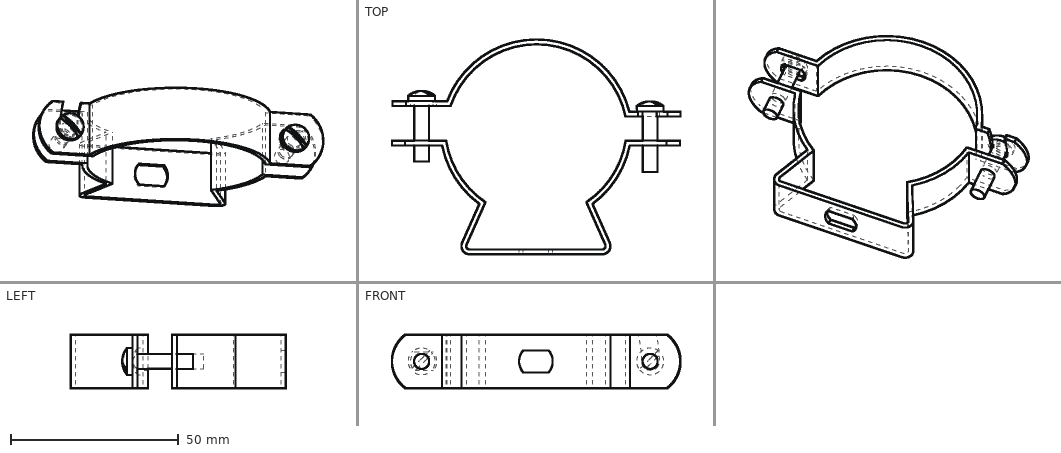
import cadquery as cq
import math

strap_width = 16.0
strap_thickness = 1.5
bore_radius = 27.0
outer_radius = bore_radius + strap_thickness

ear_tip_x = 42.9
ear_tip_radius = 10.0
screw_x = 34.0

lower_ear_top_y = -4.1
lower_ear_bottom_y = lower_ear_top_y - strap_thickness
foot_bottom_y = -38.0
foot_inner_corner_radius = 1.0
foot_outer_corner_radius = foot_inner_corner_radius + strap_thickness
foot_corner_x = 19.7
foot_corner_y = foot_bottom_y + foot_outer_corner_radius
foot_leg_angle = 24.0
foot_top_y = -15.0
foot_hole_length = 10.0
foot_hole_height = 6.5

upper_center_x = 0.2
upper_center_y = -2.5
upper_left_ear_bottom_y = 6.1
upper_right_ear_bottom_y = 3.0
ear_hole_x = -33.4
ear_hole_length = 7.8
ear_hole_height = 5.5
open_slot_width = 5.3
open_slot_path_radius = 33.9

shank_diameter = 4.5
shank_length = 18.0
head_diameter = 8.0
neck_fillet_radius = 0.25
head_rim_height = 1.6
head_height = 3.1
driver_slot_width = 1.2
driver_slot_depth = head_height - head_rim_height
driver_slot_angle = 45.0


def disc(radius, x, y):
    return cq.Workplane("XY").center(x, y).circle(radius).extrude(strap_width / 2, both=True)


def box_between(x_min, x_max, y_min, y_max, height=strap_width):
    size_x = x_max - x_min
    size_y = y_max - y_min
    return cq.Workplane("XY").box(size_x, size_y, height).translate(
        (x_min + size_x / 2, y_min + size_y / 2, 0)
    )


def along_y(sketch, y_min, y_max):
    """Extrude an XZ outline from y_min up to y_max."""
    return sketch.extrude(-(y_max - y_min)).translate((0, y_min, 0))


def flat_sided_hole(length, height, x, y_min):
    """Hole through one strap thickness along Y: a circle with flat top and bottom."""
    y_max = y_min + strap_thickness
    round_hole = along_y(cq.Workplane("XZ").center(x, 0).circle(length / 2), y_min, y_max)
    return round_hole.intersect(box_between(x - length, x + length, y_min, y_max, height))


def ear(side, center_x, bottom_y):
    """Flat ear on one side (-1 left, +1 right), reaching in to the strap centre."""
    tip_x = center_x + side * ear_tip_x
    half_width = strap_width / 2
    tip_rise = ear_tip_radius - math.sqrt(ear_tip_radius**2 - half_width**2)
    shoulder_x = tip_x - side * tip_rise
    outline = (
        cq.Workplane("XZ")
        .moveTo(center_x, -half_width)
        .lineTo(shoulder_x, -half_width)
        .threePointArc((tip_x, 0), (shoulder_x, half_width))
        .lineTo(center_x, half_width)
        .close()
    )
    return along_y(outline, bottom_y, bottom_y + strap_thickness)


def foot_block(corner_radius):
    """Trapezoid with rounded lower corners, wider at the bottom."""
    angle = math.radians(foot_leg_angle)
    tangent_x = foot_corner_x + corner_radius * math.cos(angle)
    tangent_y = foot_corner_y + corner_radius * math.sin(angle)
    top_x = tangent_x - (foot_top_y - tangent_y) * math.tan(angle)
    bottom_y = foot_corner_y - corner_radius
    middle = (angle - math.pi / 2) / 2
    middle_x = foot_corner_x + corner_radius * math.cos(middle)
    middle_y = foot_corner_y + corner_radius * math.sin(middle)
    return (
        cq.Workplane("XY")
        .moveTo(-foot_corner_x, bottom_y)
        .lineTo(foot_corner_x, bottom_y)
        .threePointArc((middle_x, middle_y), (tangent_x, tangent_y))
        .lineTo(top_x, foot_top_y)
        .lineTo(-top_x, foot_top_y)
        .lineTo(-tangent_x, tangent_y)
        .threePointArc((-middle_x, middle_y), (-foot_corner_x, bottom_y))
        .close()
        .extrude(strap_width / 2, both=True)
    )


def make_lower_strap():
    outside = disc(outer_radius, 0, 0).union(foot_block(foot_outer_corner_radius))
    inside = disc(bore_radius, 0, 0).union(foot_block(foot_inner_corner_radius))
    strap = outside.intersect(
        box_between(-outer_radius, outer_radius, foot_bottom_y, lower_ear_top_y)
    )
    for side in (-1, 1):
        strap = strap.union(ear(side, 0, lower_ear_bottom_y))
    strap = strap.cut(inside)
    for side in (-1, 1):
        shank_hole = cq.Workplane("XZ").center(side * screw_x, 0).circle(shank_diameter / 2)
        strap = strap.cut(along_y(shank_hole, lower_ear_bottom_y, lower_ear_top_y))
    return strap.cut(flat_sided_hole(foot_hole_length, foot_hole_height, 0, foot_bottom_y))


def open_slot():
    """Round-bottomed slot at the right screw, curving up and out of the strap edge."""
    slot_x = upper_center_x + open_slot_path_radius
    half_slot = open_slot_width / 2
    inner = open_slot_path_radius - half_slot
    outer = open_slot_path_radius + half_slot
    y_min = upper_right_ear_bottom_y
    y_max = y_min + strap_thickness
    round_end = along_y(cq.Workplane("XZ").center(slot_x, 0).circle(half_slot), y_min, y_max)
    ring = cq.Workplane("XZ").center(upper_center_x, 0).circle(outer).circle(inner)
    path = along_y(ring, y_min, y_max)
    right_half = box_between(upper_center_x, upper_center_x + outer, y_min, y_max)
    upper_right = right_half.translate((0, 0, strap_width / 2))
    return round_end.union(path.intersect(upper_right))


def make_upper_strap():
    top_y = upper_center_y + outer_radius
    left_x = upper_center_x - outer_radius
    right_x = upper_center_x + outer_radius
    left_half = box_between(left_x, upper_center_x, upper_left_ear_bottom_y, top_y)
    right_half = box_between(upper_center_x, right_x, upper_right_ear_bottom_y, top_y)
    strap = disc(outer_radius, upper_center_x, upper_center_y).intersect(left_half.union(right_half))
    strap = strap.union(ear(-1, upper_center_x, upper_left_ear_bottom_y))
    strap = strap.union(ear(1, upper_center_x, upper_right_ear_bottom_y))
    strap = strap.cut(disc(bore_radius, upper_center_x, upper_center_y))
    strap = strap.cut(
        flat_sided_hole(ear_hole_length, ear_hole_height, ear_hole_x, upper_left_ear_bottom_y)
    )
    return strap.cut(open_slot())


def make_screw(x, seat_y):
    """Slotted dome-head screw pointing to -Y, with the underside of its head at seat_y."""
    shank_radius = shank_diameter / 2
    head_radius = head_diameter / 2
    dome_height = head_height - head_rim_height
    dome_radius = (head_radius**2 + dome_height**2) / (2 * dome_height)
    dome_center = head_height - dome_radius
    middle_x = head_radius / 2
    middle_y = dome_center + math.sqrt(dome_radius**2 - middle_x**2)
    body = (
        cq.Workplane("XY")
        .moveTo(0, -shank_length)
        .lineTo(shank_radius, -shank_length)
        .lineTo(shank_radius, -neck_fillet_radius)
        .radiusArc((shank_radius + neck_fillet_radius, 0), neck_fillet_radius)
        .lineTo(head_radius, 0)
        .lineTo(head_radius, head_rim_height)
        .threePointArc((middle_x, middle_y), (0, head_height))
        .close()
        .revolve(360, (0, 0, 0), (0, 1, 0))
    )
    driver_slot = (
        cq.Workplane("XY")
        .box(head_diameter, driver_slot_depth, driver_slot_width)
        .translate((0, head_height - driver_slot_depth / 2, 0))
        .rotate((0, 0, 0), (0, 1, 0), -driver_slot_angle)
    )
    return body.cut(driver_slot).translate((x, seat_y, 0))


lower_strap = make_lower_strap()
upper_strap = make_upper_strap()
screws = [
    make_screw(side * screw_x, ear_bottom_y + strap_thickness)
    for side, ear_bottom_y in ((-1, upper_left_ear_bottom_y), (1, upper_right_ear_bottom_y))
]

result = cq.Compound.makeCompound(
    [lower_strap.val(), upper_strap.val(), *[screw.val() for screw in screws]]
)